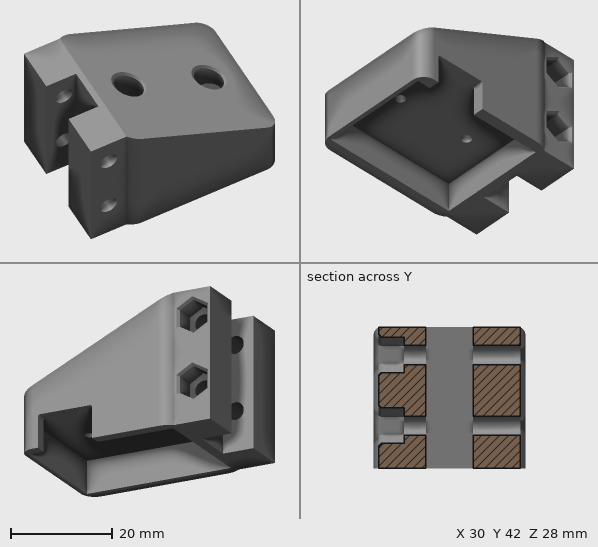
import cadquery as cq
import math

body_width = 30.0
total_length = 42.0
total_height = 28.0
rear_height = 12.0
rear_corner_radius = 3.0

lug_width = 28.0
lug_length = 8.0
slot_width = lug_width / 3
slot_depth = 6.7
shoulder_length = 3.0

bolt_diameter = 3.75
bolt_y = lug_length / 2
bolt_heights = (8.5, 22.5)
nut_flats = 6.0
nut_pocket_depth = 5.0

screw_diameter = 2.25
screw_head_diameter = 6.0
screw_spacing = 18.0
screw_head_seat_z = 10.0

lead_in = 0.5

cavity_width = 25.0
cavity_height = 7.0
cavity_rear_wall = 1.0
cavity_length = 32.0
window_length = 12.0
window_rear_margin = 4.2
window_corner_radius = 0.5

cavity_rear_y = total_length - cavity_rear_wall
cavity_center_y = cavity_rear_y - cavity_length / 2
screw_positions = [cavity_center_y - screw_spacing / 2, cavity_center_y + screw_spacing / 2]
slope = (total_height - rear_height) / (total_length - lug_length)


def roof_height(y):
    """Height of the sloping roof at a position along Y."""
    return total_height - slope * (y - lug_length)


def make_plan():
    """Full-height block with rounded rear corners and arced shoulders behind the lugs."""
    half_body = body_width / 2
    half_lug = lug_width / 2
    step = half_body - half_lug
    shoulder_end_y = lug_length + shoulder_length
    radius = (shoulder_length**2 + step**2) / (2 * step)
    half_sweep = math.asin(shoulder_length / radius) / 2
    mid_x = half_body - radius * (1 - math.cos(half_sweep))
    mid_y = shoulder_end_y - radius * math.sin(half_sweep)
    block = (
        cq.Workplane("XY")
        .moveTo(-half_lug, 0)
        .lineTo(half_lug, 0)
        .lineTo(half_lug, lug_length)
        .threePointArc((mid_x, mid_y), (half_body, shoulder_end_y))
        .lineTo(half_body, total_length)
        .lineTo(-half_body, total_length)
        .lineTo(-half_body, shoulder_end_y)
        .threePointArc((-mid_x, mid_y), (-half_lug, lug_length))
        .close()
        .extrude(total_height)
    )
    return block.edges("|Z and >Y").fillet(rear_corner_radius)


def make_wedge():
    """Side profile with the roof falling from the lugs to the rear."""
    return (
        cq.Workplane("YZ")
        .polyline([
            (0, 0),
            (total_length, 0),
            (total_length, rear_height),
            (lug_length, total_height),
            (0, total_height),
        ])
        .close()
        .extrude(body_width / 2, both=True)
    )


def make_slot():
    """Gap between the two lugs."""
    return cq.Workplane("XY").box(
        slot_width, slot_depth, total_height, centered=(True, False, False)
    )


def make_cavity():
    """Rectangular recess in the underside."""
    return (
        cq.Workplane("XY")
        .center(0, cavity_center_y)
        .rect(cavity_width, cavity_length)
        .extrude(cavity_height)
    )


def make_window():
    """Opening from the cavity through the -X wall, with rounded upper corners."""
    wall = (body_width - cavity_width) / 2
    window = cq.Workplane("XY").box(wall, window_length, cavity_height, centered=False)
    window = window.edges("|X and >Z").fillet(window_corner_radius)
    window_front_y = total_length - window_rear_margin - window_length
    return window.translate((-body_width / 2, window_front_y, 0))


def make_bolt_cut(z):
    """Bolt hole through both lugs, with a hexagonal nut pocket in the -X lug."""
    corner_factor = 2 / math.sqrt(3)
    outer_face = cq.Workplane("YZ", origin=(-lug_width / 2, bolt_y, z)).transformed(rotate=(0, 0, 90))
    hole = outer_face.circle(bolt_diameter / 2).extrude(lug_width)
    pocket = outer_face.polygon(6, nut_flats * corner_factor).extrude(nut_pocket_depth)
    funnel = (
        outer_face.polygon(6, (nut_flats + 2 * lead_in) * corner_factor)
        .workplane(offset=lead_in)
        .polygon(6, nut_flats * corner_factor)
        .loft()
    )
    return hole.union(pocket).union(funnel)


def make_screw_cut(y):
    """Vertical screw hole with a flat-seated head pocket opening through the roof."""
    hole = cq.Workplane("XY").center(0, y).circle(screw_diameter / 2).extrude(total_height)
    pocket = (
        cq.Workplane("XY", origin=(0, y, screw_head_seat_z))
        .circle(screw_head_diameter / 2)
        .extrude(total_height - screw_head_seat_z)
    )
    return hole.union(pocket)


def chamfer_head_pockets(part):
    """Bevel the rims where the head pockets meet the sloping roof."""
    for y in screw_positions:
        rim = cq.selectors.NearestToPointSelector((0, y, roof_height(y)))
        part = part.edges(rim).chamfer(lead_in)
    return part


result = make_plan().intersect(make_wedge())
result = result.cut(make_slot()).cut(make_cavity()).cut(make_window())
for bolt_z in bolt_heights:
    result = result.cut(make_bolt_cut(bolt_z))
for screw_y in screw_positions:
    result = result.cut(make_screw_cut(screw_y))
result = chamfer_head_pockets(result)